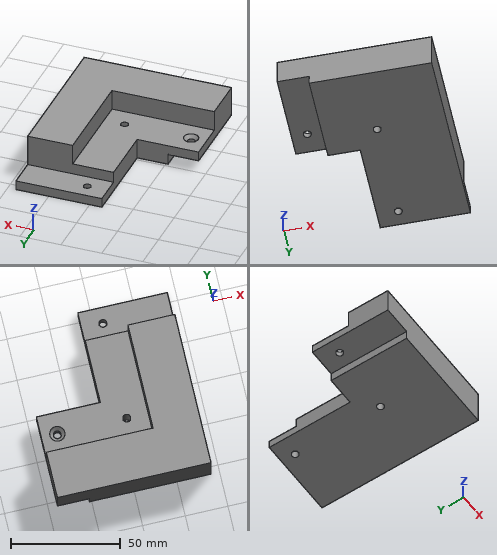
import cadquery as cq

width = 72.0
length = 87.0
height = 20.0

arm_width = 42.0
wall_thickness = 22.0
shelf_height = 10.0

lap_length = 15.0
lower_tab_thickness = 4.7
upper_tab_underside = 5.2

hole_diameter = 3.6
countersink_diameter = 7.0
countersink_angle = 90.0
hole_inset = lap_length / 2
hole_column_x = 40.0
hole_row_y = 32.0


def box_between(x_min, x_max, y_min, y_max, z_min, z_max):
    """Box given by its limits along each axis."""
    size = (x_max - x_min, y_max - y_min, z_max - z_min)
    return cq.Workplane("XY").box(*size, centered=False).translate((x_min, y_min, z_min))


inner_corner_x = width - arm_width
body = box_between(0, width, 0, length, 0, height)
body = body.cut(box_between(0, inner_corner_x, arm_width, length, 0, height))

wall_inner_x = width - wall_thickness
body = body.cut(box_between(0, wall_inner_x, wall_thickness, length, shelf_height, height))

body = body.cut(box_between(0, width, length - lap_length, length, lower_tab_thickness, height))

body = body.cut(box_between(0, lap_length, 0, arm_width, 0, upper_tab_underside))

plain_holes = [(hole_column_x, hole_row_y), (hole_column_x, length - hole_inset)]
drills = cq.Workplane("XY").pushPoints(plain_holes).circle(hole_diameter / 2).extrude(height)
body = body.cut(drills)

result = (
    body.copyWorkplane(cq.Workplane("XY", origin=(hole_inset, hole_row_y, shelf_height)))
    .pushPoints([(0, 0)])
    .cskHole(hole_diameter, countersink_diameter, countersink_angle)
)